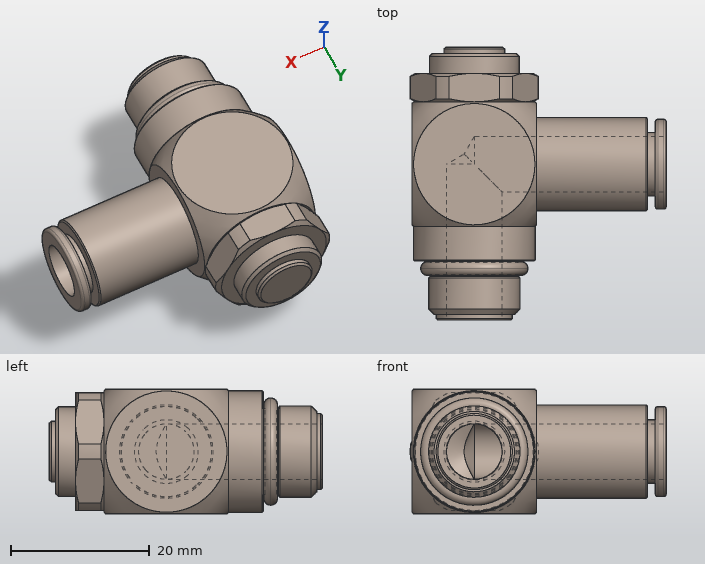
import cadquery as cq
import math

BODY_SIZE = 18.0
BODY_HALF = BODY_SIZE / 2
FACE_CIRCLE_RADIUS = 8.75
BODY_SPHERE_RADIUS = math.hypot(BODY_HALF, FACE_CIRCLE_RADIUS)

HEX_ACROSS_FLATS = 17.0
HEX_CORNER_RADIUS = 9.25
HEX_LENGTH = 4.1
HEX_BEVEL_ANGLE = 30.0

CAP_RADIUS = 6.5
CAP_LENGTH = 2.9
CAP_CHAMFER = 0.45
SCREW_RADIUS = 4.4
SCREW_LENGTH = 0.9
SCREW_CHAMFER = 0.3

COLLAR_RADIUS = 8.8
COLLAR_LENGTH = 5.0
COLLAR_CHAMFER = 0.2
SEAL_SECTION_RADIUS = 1.0
SEAL_OUTER_RADIUS = 7.75
SEAL_GAP = 0.05
STEM_RADIUS = 6.6
STEM_END = 20.9
STEM_EDGE_CHAMFER = 0.2
GROOVE_RADIUS = 6.2
GROOVE_LENGTH = 2.2
PILOT_RADIUS = 5.5
PILOT_START = 21.7
PILOT_END = 22.5
PILOT_CHAMFER = 0.25

TUBE_RADIUS = 6.75
TUBE_END = 25.0
TUBE_CHAMFER = 0.2
NECK_RADIUS = 4.6
RELEASE_RING_RADIUS = 6.5
RELEASE_RING_START = 26.1
RELEASE_RING_END = 27.7
RELEASE_RING_FILLET = 0.4

BORE_RADIUS = 4.0
DRILL_POINT_ANGLE = 120.0


def cylinder_y(radius, start, end):
    """Cylinder on the Y axis between two Y positions, start < end."""
    return cq.Workplane("XZ", origin=(0, end, 0)).circle(radius).extrude(end - start)


def cylinder_x(radius, start, end):
    """Cylinder on the X axis between two X positions, start < end."""
    return cq.Workplane("YZ", origin=(start, 0, 0)).circle(radius).extrude(end - start)


def make_body():
    cube = cq.Workplane("XY").box(BODY_SIZE, BODY_SIZE, BODY_SIZE)
    return cube.intersect(cq.Workplane("XY").sphere(BODY_SPHERE_RADIUS))


def make_hex_nut():
    """Hexagon with flats facing +Z and -Z, its corners turned round and bevelled."""
    start = BODY_HALF
    end = start + HEX_LENGTH
    flat_radius = HEX_ACROSS_FLATS / 2
    corner_diameter = HEX_ACROSS_FLATS / math.cos(math.pi / 6)
    bevel_length = (HEX_CORNER_RADIUS - flat_radius) * math.tan(math.radians(HEX_BEVEL_ANGLE))
    hexagon = cq.Workplane("XZ", origin=(0, end, 0)).polygon(6, corner_diameter).extrude(HEX_LENGTH)
    envelope = (
        cq.Workplane("XY")
        .moveTo(0, start)
        .lineTo(flat_radius, start)
        .lineTo(HEX_CORNER_RADIUS, start + bevel_length)
        .lineTo(HEX_CORNER_RADIUS, end - bevel_length)
        .lineTo(flat_radius, end)
        .lineTo(0, end)
        .close()
        .revolve(360, (0, 0, 0), (0, 1, 0))
    )
    return hexagon.intersect(envelope)


def make_cap_and_screw():
    cap_start = BODY_HALF + HEX_LENGTH
    cap_end = cap_start + CAP_LENGTH
    cap = cylinder_y(CAP_RADIUS, cap_start, cap_end).faces(">Y").chamfer(CAP_CHAMFER)
    screw = cylinder_y(SCREW_RADIUS, cap_end, cap_end + SCREW_LENGTH).faces(">Y").chamfer(SCREW_CHAMFER)
    return cap.union(screw)


def make_collar():
    collar = cylinder_y(COLLAR_RADIUS, -BODY_HALF - COLLAR_LENGTH, -BODY_HALF)
    return collar.faces("<Y").chamfer(COLLAR_CHAMFER)


def make_stem():
    """Grooved stem with a tapered lead-in to a narrower pilot."""
    groove_start = BODY_HALF + COLLAR_LENGTH
    groove_end = groove_start + GROOVE_LENGTH
    return (
        cq.Workplane("XY")
        .moveTo(0, -groove_start)
        .lineTo(GROOVE_RADIUS, -groove_start)
        .lineTo(GROOVE_RADIUS, -groove_end)
        .lineTo(STEM_RADIUS - STEM_EDGE_CHAMFER, -groove_end)
        .lineTo(STEM_RADIUS, -groove_end - STEM_EDGE_CHAMFER)
        .lineTo(STEM_RADIUS, -STEM_END)
        .lineTo(STEM_RADIUS - (PILOT_START - STEM_END), -PILOT_START)
        .lineTo(PILOT_RADIUS, -PILOT_START)
        .lineTo(PILOT_RADIUS, -PILOT_END + PILOT_CHAMFER)
        .lineTo(PILOT_RADIUS - PILOT_CHAMFER, -PILOT_END)
        .lineTo(0, -PILOT_END)
        .close()
        .revolve(360, (0, 0, 0), (0, 1, 0))
    )


def make_seal_ring():
    centre_y = -(BODY_HALF + COLLAR_LENGTH + SEAL_GAP + SEAL_SECTION_RADIUS)
    ring_radius = SEAL_OUTER_RADIUS - SEAL_SECTION_RADIUS
    section = cq.Workplane("XY").center(ring_radius, centre_y).circle(SEAL_SECTION_RADIUS)
    return section.revolve(360, (-ring_radius, 0, 0), (-ring_radius, 1, 0))


def make_tube_connector():
    tube = cylinder_x(TUBE_RADIUS, 0, TUBE_END).faces(">X").chamfer(TUBE_CHAMFER)
    neck = cylinder_x(NECK_RADIUS, TUBE_END, RELEASE_RING_START)
    ring = cylinder_x(RELEASE_RING_RADIUS, RELEASE_RING_START, RELEASE_RING_END)
    ring = ring.edges("%CIRCLE").fillet(RELEASE_RING_FILLET)
    return tube.union(neck).union(ring)


def make_bore(length):
    """Drilled bore from the origin to -Y, with its conical point on the +Y side."""
    point_depth = BORE_RADIUS / math.tan(math.radians(DRILL_POINT_ANGLE / 2))
    return (
        cq.Workplane("XY")
        .moveTo(0, point_depth)
        .lineTo(BORE_RADIUS, 0)
        .lineTo(BORE_RADIUS, -length)
        .lineTo(0, -length)
        .close()
        .revolve(360, (0, 0, 0), (0, 1, 0))
    )


fitting = (
    make_body()
    .union(make_tube_connector())
    .union(make_hex_nut())
    .union(make_cap_and_screw())
    .union(make_collar())
    .union(make_stem())
    .union(make_seal_ring())
)
stem_bore = make_bore(PILOT_END)
tube_bore = make_bore(RELEASE_RING_END).rotate((0, 0, 0), (0, 0, 1), 90)

result = fitting.cut(stem_bore).cut(tube_bore)